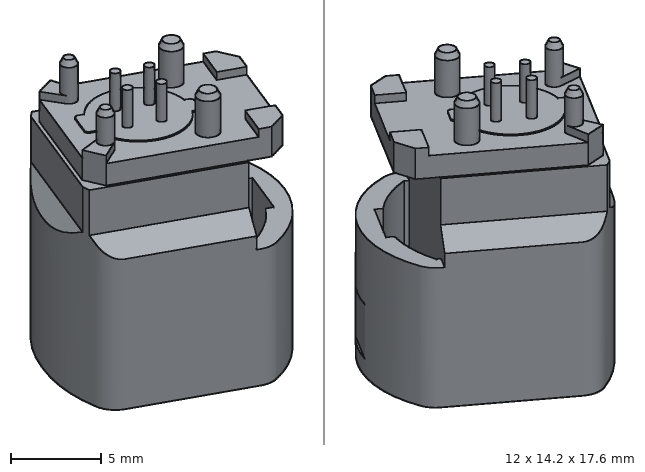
import cadquery as cq
import math


HALF_WIDTH = 6.0
FRONT_Y = -5.65
BACK_Y = 8.6
FRONT_ARC_RADIUS = 10.0
BACK_ARC_RADIUS = 7.5
FRONT_FLAT_WIDTH = 0.45
CORNER_RADIUS = 1.6

HOOD_TOP = 8.66
SLOPE_BOTTOM = 9.52
SLOPE_TOP = 10.67
NECK_TOP = 13.53
NECK_HALF_WIDTH = 4.73
NECK_FRONT_Y = -4.8
NECK_BACK_Y = -NECK_FRONT_Y

BORE_RADIUS = 7.08
BORE_HALF_WIDTH = 4.91
KEYWAY_WIDTH = 3.52
KEYWAY_BACK_Y = 7.34
RECESS_DEPTH = 0.14
RECESS_BOTTOM = 1.07
RECESS_TOP = 4.44

PLATE_HALF_WIDTH = 4.55
PLATE_FRONT_Y = -PLATE_HALF_WIDTH
PLATE_BACK_Y = 7.22
PLATE_CHAMFER = 1.02
PLATE_TOP = 14.92
PAD_TOP = 15.44
BACK_PAD_INNER_X = 2.32
BACK_PAD_FRONT_Y = 5.44

INSERT_RADIUS = 3.01
INSERT_TOP = 15.01
KEY_REACH = 3.45
KEY_CHAMFER = 0.15
BACK_KEY_WIDTH = 1.34
FRONT_KEY_WIDTH = 1.97

PIN_OFFSET = 1.0
PIN_RADIUS = 0.3
PIN_TOP = 17.4
PEG_OFFSET = 3 * PIN_OFFSET
BACK_PEG_RADIUS = 0.7
FRONT_PEG_RADIUS = 0.51
PEG_TOP = 17.6
PEG_TIP_HEIGHT = 0.39
PEG_TIP_INSET = 0.2

SIDES = (-1, 1)


def prism(bottom, top, points):
    """Upright prism with a polygonal outline."""
    return cq.Workplane("XY").workplane(offset=bottom).polyline(points).close().extrude(top - bottom)


def block(x_min, x_max, y_min, y_max, bottom, top):
    """Axis-aligned box given by its limits."""
    corners = [(x_min, y_min), (x_max, y_min), (x_max, y_max), (x_min, y_max)]
    return prism(bottom, top, corners)


def cylinder(x, y, radius, bottom, top):
    """Upright cylinder."""
    return cq.Workplane("XY", origin=(x, y, bottom)).circle(radius).extrude(top - bottom)


def housing_outline():
    """Straight-sided solid with bowed front and back and rounded corners."""
    flat_half = FRONT_FLAT_WIDTH / 2
    front_reach = HALF_WIDTH - flat_half
    front_center_y = FRONT_Y + FRONT_ARC_RADIUS
    front_corner_y = front_center_y - math.sqrt(FRONT_ARC_RADIUS**2 - front_reach**2)
    front_mid_y = front_center_y - math.sqrt(FRONT_ARC_RADIUS**2 - (front_reach / 2) ** 2)
    front_mid_x = flat_half + front_reach / 2
    back_corner_y = BACK_Y - BACK_ARC_RADIUS + math.sqrt(BACK_ARC_RADIUS**2 - HALF_WIDTH**2)
    solid = (
        cq.Workplane("XY")
        .moveTo(-flat_half, FRONT_Y)
        .lineTo(flat_half, FRONT_Y)
        .threePointArc((front_mid_x, front_mid_y), (HALF_WIDTH, front_corner_y))
        .lineTo(HALF_WIDTH, back_corner_y)
        .threePointArc((0, BACK_Y), (-HALF_WIDTH, back_corner_y))
        .lineTo(-HALF_WIDTH, front_corner_y)
        .threePointArc((-front_mid_x, front_mid_y), (-flat_half, FRONT_Y))
        .close()
        .extrude(NECK_TOP)
    )
    return solid.edges("|Z and (>X or <X)").fillet(CORNER_RADIUS)


def neck_limits():
    """Region the housing may fill: sloped shoulders below a straight-sided neck."""
    across_x = (
        cq.Workplane("XZ", origin=(0, BACK_Y, 0))
        .polyline([
            (-HALF_WIDTH, 0), (HALF_WIDTH, 0), (HALF_WIDTH, SLOPE_BOTTOM),
            (NECK_HALF_WIDTH, SLOPE_TOP), (NECK_HALF_WIDTH, NECK_TOP),
            (-NECK_HALF_WIDTH, NECK_TOP), (-NECK_HALF_WIDTH, SLOPE_TOP),
            (-HALF_WIDTH, SLOPE_BOTTOM),
        ])
        .close()
        .extrude(BACK_Y - FRONT_Y)
    )
    along_y = (
        cq.Workplane("YZ", origin=(-HALF_WIDTH, 0, 0))
        .polyline([
            (FRONT_Y, 0), (BACK_Y, 0), (BACK_Y, HOOD_TOP),
            (NECK_BACK_Y, HOOD_TOP), (NECK_BACK_Y, NECK_TOP),
            (NECK_FRONT_Y, NECK_TOP), (NECK_FRONT_Y, SLOPE_TOP),
            (FRONT_Y, SLOPE_BOTTOM),
        ])
        .close()
        .extrude(2 * HALF_WIDTH)
    )
    return across_x.intersect(along_y)


def hood_opening():
    """Vertical passage between the neck and the hood, with a keyway at the back."""
    bore = cylinder(0, 0, BORE_RADIUS, 0, HOOD_TOP)
    behind_neck = block(-BORE_HALF_WIDTH, BORE_HALF_WIDTH, NECK_BACK_Y, BACK_Y, 0, HOOD_TOP)
    keyway = block(-KEYWAY_WIDTH / 2, KEYWAY_WIDTH / 2, NECK_BACK_Y, KEYWAY_BACK_Y, 0, HOOD_TOP)
    return bore.intersect(behind_neck).union(keyway)


def back_recess():
    """Shallow flat cut across the crown of the hood's back."""
    return block(-HALF_WIDTH, HALF_WIDTH, BACK_Y - RECESS_DEPTH, BACK_Y, RECESS_BOTTOM, RECESS_TOP)


def plate_blank(top):
    """Plate with four chamfered corners, from the top of the neck up to the given level."""
    return block(
        -PLATE_HALF_WIDTH, PLATE_HALF_WIDTH, PLATE_FRONT_Y, PLATE_BACK_Y, NECK_TOP, top
    ).edges("|Z").chamfer(PLATE_CHAMFER)


def back_pads():
    """Raised pads on the two back corners of the plate."""
    corner_strip = block(
        -PLATE_HALF_WIDTH, PLATE_HALF_WIDTH, BACK_PAD_FRONT_Y, PLATE_BACK_Y, NECK_TOP, PAD_TOP
    )
    gap = block(
        -BACK_PAD_INNER_X, BACK_PAD_INNER_X, BACK_PAD_FRONT_Y, PLATE_BACK_Y, NECK_TOP, PAD_TOP
    )
    return plate_blank(PAD_TOP).intersect(corner_strip).cut(gap)


def front_pad(side):
    """Raised web from a front corner chamfer, with both flanks tangent to the front peg."""
    corner_a = (PLATE_HALF_WIDTH, PLATE_FRONT_Y + PLATE_CHAMFER)
    corner_b = (PLATE_HALF_WIDTH - PLATE_CHAMFER, PLATE_FRONT_Y)
    run_x = corner_a[0] - PEG_OFFSET
    run_y = corner_a[1] + PEG_OFFSET
    touch_angle = math.atan2(run_y, run_x) + math.acos(FRONT_PEG_RADIUS / math.hypot(run_x, run_y))
    touch_x = FRONT_PEG_RADIUS * math.cos(touch_angle)
    touch_y = FRONT_PEG_RADIUS * math.sin(touch_angle)
    outline = [
        corner_a,
        (PEG_OFFSET + touch_x, -PEG_OFFSET + touch_y),
        (PEG_OFFSET - touch_y, -PEG_OFFSET - touch_x),
        corner_b,
    ]
    return prism(NECK_TOP, PAD_TOP, [(side * x, y) for x, y in outline])


def insert_key(width, direction):
    """Key on the insert's rim, with chamfered outer corners; direction is +1 for the back."""
    half = width / 2
    outline = [
        (-half, 0), (half, 0), (half, KEY_REACH - KEY_CHAMFER), (half - KEY_CHAMFER, KEY_REACH),
        (KEY_CHAMFER - half, KEY_REACH), (-half, KEY_REACH - KEY_CHAMFER),
    ]
    return prism(NECK_TOP, INSERT_TOP, [(x, direction * y) for x, y in outline])


def contact_insert():
    """Keyed disc standing slightly proud of the plate."""
    disc = cylinder(0, 0, INSERT_RADIUS, NECK_TOP, INSERT_TOP)
    return disc.union(insert_key(BACK_KEY_WIDTH, 1)).union(insert_key(FRONT_KEY_WIDTH, -1))


def peg(x, y, radius):
    """Locating peg with a tapered tip."""
    shank = cylinder(x, y, radius, NECK_TOP, PEG_TOP)
    return shank.faces(">Z").chamfer(PEG_TIP_HEIGHT, PEG_TIP_INSET)


result = housing_outline().intersect(neck_limits()).cut(hood_opening()).cut(back_recess())
result = result.union(plate_blank(PLATE_TOP)).union(back_pads()).union(contact_insert())
for x_side in SIDES:
    result = result.union(front_pad(x_side))
    result = result.union(peg(x_side * PEG_OFFSET, PEG_OFFSET, BACK_PEG_RADIUS))
    result = result.union(peg(x_side * PEG_OFFSET, -PEG_OFFSET, FRONT_PEG_RADIUS))
    for y_side in SIDES:
        pin = cylinder(x_side * PIN_OFFSET, y_side * PIN_OFFSET, PIN_RADIUS, NECK_TOP, PIN_TOP)
        result = result.union(pin)